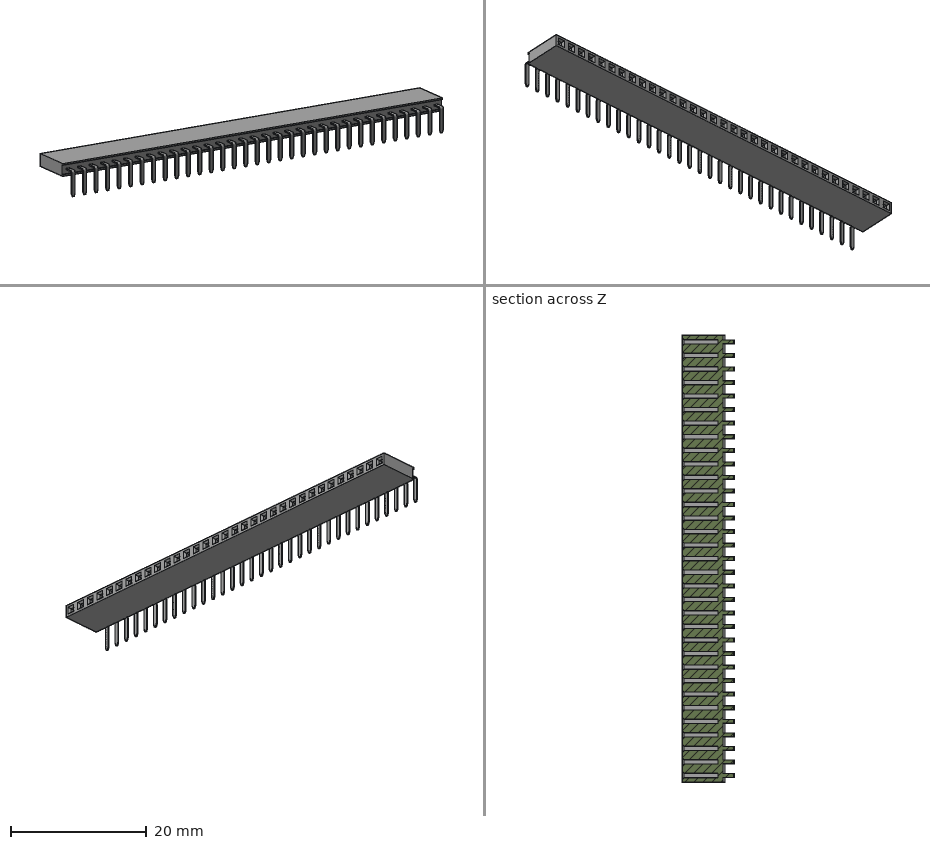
import cadquery as cq

LENGTH = 66.0
OVERALL_DEPTH = 7.7
OVERALL_HEIGHT = 4.9

PIN_COUNT = 33
PITCH = LENGTH / PIN_COUNT
BODY_DEPTH = 6.35
BODY_HEIGHT = 2.0
GROOVE_DEPTH = 0.25
GROOVE_LIP = 0.25

SOCKET_MOUTH = 1.2
SOCKET_THROAT = 0.6
FUNNEL_DEPTH = (SOCKET_MOUTH - SOCKET_THROAT) / 2
SOCKET_DEPTH = 5.3

PIN_WIDTH = 0.6
PIN_THICKNESS = 0.2
BEND_RADIUS = 0.3
TIP_WIDTH = 0.25
TIP_LENGTH = 0.45
PIN_EMBED = 0.65

MID_HEIGHT = BODY_HEIGHT / 2
GROOVE_FLOOR = BODY_DEPTH - GROOVE_DEPTH
TIP_Z = BODY_HEIGHT - OVERALL_HEIGHT
row_positions = [(i - (PIN_COUNT - 1) / 2) * PITCH for i in range(PIN_COUNT)]


def make_housing():
    """Long block with a full-length groove in the rear face."""
    block = cq.Workplane("XY").box(BODY_DEPTH, LENGTH, BODY_HEIGHT, centered=(False, True, False))
    groove = (
        cq.Workplane("XY")
        .box(GROOVE_DEPTH, LENGTH, BODY_HEIGHT - 2 * GROOVE_LIP, centered=(False, True, False))
        .translate((GROOVE_FLOOR, 0, GROOVE_LIP))
    )
    return block.cut(groove)


def make_socket():
    """Cutter for one socket: a square funnel leading into a blind square hole."""
    funnel = (
        cq.Workplane("YZ")
        .rect(SOCKET_MOUTH, SOCKET_MOUTH)
        .workplane(offset=FUNNEL_DEPTH)
        .rect(SOCKET_THROAT, SOCKET_THROAT)
        .loft(ruled=True)
    )
    hole = cq.Workplane("YZ").rect(SOCKET_THROAT, SOCKET_THROAT).extrude(SOCKET_DEPTH)
    return funnel.union(hole).translate((0, 0, MID_HEIGHT))


def make_pin():
    """Flat pin leaving the rear face, bent straight down, with a tapered tip."""
    half_width = PIN_WIDTH / 2
    inner_x = OVERALL_DEPTH - PIN_THICKNESS
    inner_radius = BEND_RADIUS - PIN_THICKNESS
    pin_top = MID_HEIGHT + PIN_THICKNESS / 2
    pin_bottom = MID_HEIGHT - PIN_THICKNESS / 2
    strip = (
        cq.Workplane("XZ")
        .moveTo(GROOVE_FLOOR - PIN_EMBED, pin_top)
        .lineTo(OVERALL_DEPTH - BEND_RADIUS, pin_top)
        .radiusArc((OVERALL_DEPTH, pin_top - BEND_RADIUS), BEND_RADIUS)
        .lineTo(OVERALL_DEPTH, TIP_Z)
        .lineTo(inner_x, TIP_Z)
        .lineTo(inner_x, pin_top - BEND_RADIUS)
        .radiusArc((OVERALL_DEPTH - BEND_RADIUS, pin_bottom), -inner_radius)
        .lineTo(GROOVE_FLOOR - PIN_EMBED, pin_bottom)
        .close()
        .extrude(half_width, both=True)
    )
    half_tip = TIP_WIDTH / 2
    tapered_outline = (
        cq.Workplane("YZ")
        .polyline([
            (-half_width, pin_top),
            (-half_width, TIP_Z + TIP_LENGTH),
            (-half_tip, TIP_Z),
            (half_tip, TIP_Z),
            (half_width, TIP_Z + TIP_LENGTH),
            (half_width, pin_top),
        ])
        .close()
        .extrude(OVERALL_DEPTH)
    )
    return strip.intersect(tapered_outline)


def repeat_along_row(shape):
    """Copies of one shape at every pin position."""
    solid = shape.val()
    return [solid.translate(cq.Vector(0, y, 0)) for y in row_positions]


housing = make_housing().val().cut(*repeat_along_row(make_socket()))
result = cq.Workplane(housing.fuse(*repeat_along_row(make_pin())))